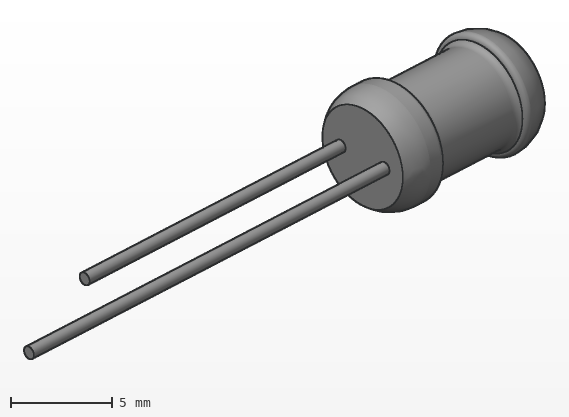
import math

import cadquery as cq

BODY_LENGTH = 10.0
FLANGE_RADIUS = 3.35
CORE_RADIUS = 2.8
END_FACE_RADIUS = 2.8

CROWN_LENGTH = 1.4
BAND_LENGTH = 0.74

REAR_CROWN_LENGTH = 1.5

SHOULDER_ROUND_RADIUS = 0.32
SHOULDER_HOLLOW_LENGTH = 0.4

LEAD_DIAMETER = 0.7
LEAD_SPACING = 3.05
SHORT_LEAD_LENGTH = 18.0
LONG_LEAD_LENGTH = 25.0


def arc_middle(tangent_end, free_end):
    """Middle (radius, Y) of the arc that leaves tangent_end parallel to the Y axis."""
    radial = free_end[0] - tangent_end[0]
    axial = free_end[1] - tangent_end[1]
    arc_radius = (radial**2 + axial**2) / (2 * abs(radial))
    half_angle = math.atan2(abs(radial), abs(axial))
    return (
        tangent_end[0] + math.copysign(arc_radius * (1 - math.cos(half_angle)), radial),
        tangent_end[1] + math.copysign(arc_radius * math.sin(half_angle), axial),
    )


def make_body():
    """Revolve the spool profile, drawn as (radius, Y), around the Y axis."""
    hollow_radius = FLANGE_RADIUS - SHOULDER_ROUND_RADIUS

    face_edge = (END_FACE_RADIUS, 0)
    band_start = (FLANGE_RADIUS, CROWN_LENGTH)
    band_end = (FLANGE_RADIUS, CROWN_LENGTH + BAND_LENGTH)
    hollow_start = (hollow_radius, band_end[1] + SHOULDER_ROUND_RADIUS)
    core_start = (CORE_RADIUS, hollow_start[1] + SHOULDER_HOLLOW_LENGTH)

    rear_edge = (END_FACE_RADIUS, BODY_LENGTH)
    rear_rim = (FLANGE_RADIUS, BODY_LENGTH - REAR_CROWN_LENGTH)
    rear_hollow = (hollow_radius, rear_rim[1] - SHOULDER_ROUND_RADIUS)
    core_end = (CORE_RADIUS, rear_hollow[1] - SHOULDER_HOLLOW_LENGTH)

    profile = (
        cq.Workplane("XY")
        .lineTo(*face_edge)
        .threePointArc(arc_middle(band_start, face_edge), band_start)
        .lineTo(*band_end)
        .threePointArc(arc_middle(band_end, hollow_start), hollow_start)
        .threePointArc(arc_middle(core_start, hollow_start), core_start)
        .lineTo(*core_end)
        .threePointArc(arc_middle(core_end, rear_hollow), rear_hollow)
        .threePointArc(arc_middle(rear_rim, rear_hollow), rear_rim)
        .threePointArc(arc_middle(rear_rim, rear_edge), rear_edge)
        .lineTo(0, BODY_LENGTH)
        .close()
    )
    return profile.revolve(360, (0, 0, 0), (0, 1, 0))


def make_lead(x, length):
    """Round wire running from the end face toward -Y."""
    return cq.Workplane("XZ").center(x, 0).circle(LEAD_DIAMETER / 2).extrude(length)


result = (
    make_body()
    .union(make_lead(-LEAD_SPACING / 2, SHORT_LEAD_LENGTH))
    .union(make_lead(LEAD_SPACING / 2, LONG_LEAD_LENGTH))
)